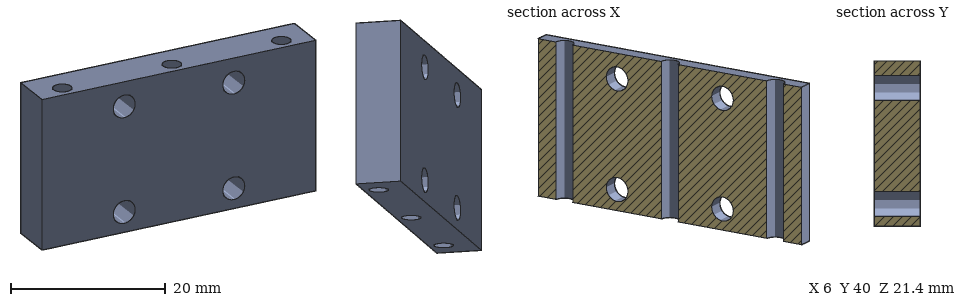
import cadquery as cq

thickness = 6.0
length = 40.0
height = 21.4

cross_hole_diameter = 3.2
cross_hole_spacing_y = 16.0
cross_hole_spacing_z = 15.0
cross_hole_top_margin = 3.5

edge_hole_diameter = 2.5
edge_hole_pitch = 16.0
edge_hole_count = 3
edge_hole_from_face = 4.0


def make_plate():
    """Plain block centred on the origin."""
    return cq.Workplane("XY").box(thickness, length, height)


def make_cross_holes():
    """Two by two pattern of cylinders along X, set slightly below mid-height."""
    pattern_center_z = height / 2 - cross_hole_top_margin - cross_hole_spacing_z / 2
    return (
        cq.Workplane("YZ", origin=(-thickness / 2, 0, pattern_center_z))
        .rect(cross_hole_spacing_y, cross_hole_spacing_z, forConstruction=True)
        .vertices()
        .circle(cross_hole_diameter / 2)
        .extrude(thickness)
    )


def make_edge_holes():
    """Row of cylinders along Z, offset from the middle of the thickness."""
    row_x = -thickness / 2 + edge_hole_from_face
    return (
        cq.Workplane("XY", origin=(row_x, 0, -height / 2))
        .rarray(edge_hole_pitch, edge_hole_pitch, 1, edge_hole_count)
        .circle(edge_hole_diameter / 2)
        .extrude(height)
    )


result = make_plate().cut(make_cross_holes()).cut(make_edge_holes())